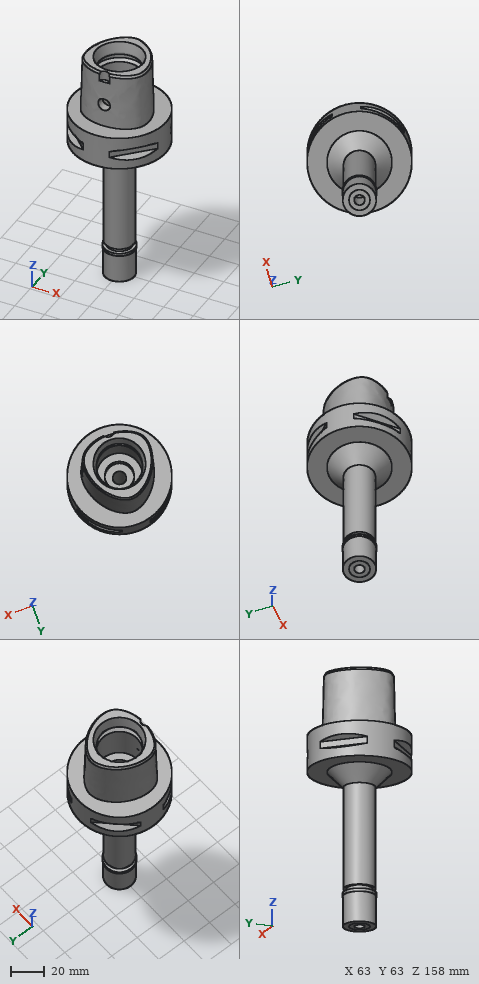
import cadquery as cq
import math


taper_height = 37.9
taper_width = 44.1
lobe_height = 1.35
taper_ratio = 1 / 20
outline_points = 48
tip_chamfer_height = 1.6
tip_chamfer_width = 1.0

notch_diameter = 7.6
notch_depth = 6.3
notch_center_y = -21.3
radial_hole_diameter = 8.0
radial_hole_z = 15.3
radial_hole_floor_y = -14.5

mouth_diameter = 31.5
bore_diameter = 27.8
groove_diameter = 32.4
mouth_depth = 6.6
groove_start = 7.9
groove_end = 12.0
bore_start = 13.5
bore_depth = taper_height
screw_pocket_diameter = 17.7
screw_pocket_depth = 6.3
coolant_diameter = 8.0

flange_diameter = 63.0
flange_height = 22.3
slot_floor_distance = 27.6
slot_floor_height = 4.1
slot_mouth_height = 8.2
slot_z = -12.2
slot_count = 4
first_slot_angle = 45

cone_height = 9.8
cone_diameter = 39.0
stem_diameter = 19.5
total_height = 158.0
end_z = taper_height - total_height
stem_end_height = 23.7
nose_diameter = 16.0
nose_end_height = 4.7

nut_height = 20.9
nut_diameter = 20.0
nut_rim_diameter = 20.7
nut_rim_height = 1.9

collet_bore_diameter = 6.3
collet_top_diameter = 9.5
collet_face_diameter = 12.6
collet_height = 19.0


def revolved(profile):
    """Revolve a closed (radius, Z) profile about the Z axis."""
    return cq.Workplane("XZ").polyline(profile).close().revolve(360, (0, 0, 0), (0, 1, 0))


def cylinder(diameter, z_low, z_high):
    return cq.Workplane("XY").workplane(offset=z_low).circle(diameter / 2).extrude(z_high - z_low)


def lobed_point(mean_radius, angle):
    """Point of the three-lobed curve of constant width, for the given direction of its normal."""
    reach = mean_radius - lobe_height * math.sin(3 * angle)
    slope = -3 * lobe_height * math.cos(3 * angle)
    x = reach * math.cos(angle) - slope * math.sin(angle)
    y = reach * math.sin(angle) + slope * math.cos(angle)
    return x, y


def lobed_outline(mean_radius):
    start = -math.pi / 2
    step = 2 * math.pi / outline_points
    return [lobed_point(mean_radius, start + i * step) for i in range(outline_points)]


def make_taper():
    base_radius = taper_width / 2
    shoulder_z = taper_height - tip_chamfer_height
    shoulder_radius = base_radius - shoulder_z * taper_ratio / 2
    tip_radius = shoulder_radius - tip_chamfer_width
    return (
        cq.Workplane("XY")
        .spline(lobed_outline(base_radius), periodic=True).close()
        .workplane(offset=shoulder_z)
        .spline(lobed_outline(shoulder_radius), periodic=True).close()
        .workplane(offset=tip_chamfer_height)
        .spline(lobed_outline(tip_radius), periodic=True).close()
        .loft(ruled=True)
    )


def make_flange_and_stem():
    cone_end_z = -flange_height - cone_height
    stem_end_z = end_z + stem_end_height
    nose_end_z = end_z + nose_end_height
    return revolved([
        (0, 0),
        (flange_diameter / 2, 0),
        (flange_diameter / 2, -flange_height),
        (cone_diameter / 2, -flange_height),
        (stem_diameter / 2, cone_end_z),
        (stem_diameter / 2, stem_end_z),
        (nose_diameter / 2, stem_end_z),
        (nose_diameter / 2, nose_end_z),
        (0, nose_end_z),
    ])


def make_clamping_bore():
    bore_floor = taper_height - bore_depth
    pocket_floor = bore_floor - screw_pocket_depth
    return revolved([
        (0, taper_height),
        (mouth_diameter / 2, taper_height),
        (bore_diameter / 2, taper_height - mouth_depth),
        (bore_diameter / 2, taper_height - groove_start),
        (groove_diameter / 2, taper_height - groove_start),
        (groove_diameter / 2, taper_height - groove_end),
        (bore_diameter / 2, taper_height - bore_start),
        (bore_diameter / 2, bore_floor),
        (screw_pocket_diameter / 2, bore_floor),
        (screw_pocket_diameter / 2, pocket_floor),
        (coolant_diameter / 2, pocket_floor),
        (coolant_diameter / 2, end_z),
        (0, end_z),
    ])


def make_key_notch():
    notch = cylinder(notch_diameter, taper_height - notch_depth, taper_height)
    return notch.translate((0, notch_center_y, 0))


def make_radial_hole():
    """Blind hole along Y, from its flat floor out past the -Y side of the taper."""
    reach = taper_width / 2 + radial_hole_floor_y
    return (
        cq.Workplane("XZ", origin=(0, radial_hole_floor_y, radial_hole_z))
        .circle(radial_hole_diameter / 2)
        .extrude(reach)
    )


def make_gripper_slot(angle):
    """Straight slot across the rim, with a flat floor and side walls that open outwards."""
    rim = flange_diameter / 2
    return (
        cq.Workplane("XZ")
        .moveTo(slot_floor_distance, slot_z - slot_floor_height / 2)
        .lineTo(rim, slot_z - slot_mouth_height / 2)
        .lineTo(rim, slot_z + slot_mouth_height / 2)
        .lineTo(slot_floor_distance, slot_z + slot_floor_height / 2)
        .close()
        .extrude(rim, both=True)
        .rotate((0, 0, 0), (0, 0, 1), angle)
    )


def make_collet_blank():
    """Tapered collet without its bore, also the shape of its seat."""
    return revolved([
        (0, end_z),
        (collet_face_diameter / 2, end_z),
        (collet_top_diameter / 2, end_z + collet_height),
        (0, end_z + collet_height),
    ])


def make_holder():
    body = make_taper().union(make_flange_and_stem())
    body = body.cut(make_clamping_bore()).cut(make_key_notch()).cut(make_radial_hole())
    for i in range(slot_count):
        body = body.cut(make_gripper_slot(first_slot_angle + i * 360 / slot_count))
    return body.cut(make_collet_blank())


def make_nut():
    top_z = end_z + nut_height
    nut = cylinder(nut_diameter, end_z, top_z)
    nut = nut.union(cylinder(nut_rim_diameter, top_z - nut_rim_height, top_z))
    nut = nut.cut(cylinder(nose_diameter, end_z + nose_end_height, top_z))
    return nut.cut(make_collet_blank())


def make_collet():
    bore = cylinder(collet_bore_diameter, end_z, end_z + collet_height)
    return make_collet_blank().cut(bore)


holder = make_holder().solids()
nut = make_nut().solids()
collet = make_collet().solids()

result = cq.Compound.makeCompound([holder.val(), nut.val(), collet.val()])